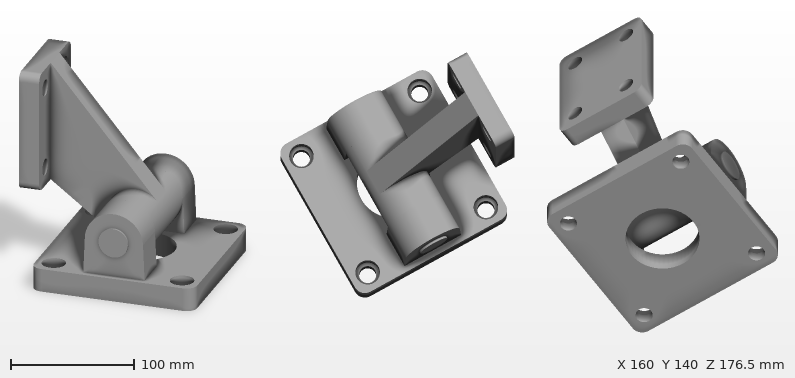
import cadquery as cq
import math


base_side = 140.0
base_thickness = 20.0
base_corner_radius = 9.2
base_hole_spacing = 110.0
base_opening_diameter = 60.0
bolt_diameter = 14.0
counterbore_diameter = 20.0
counterbore_depth = 10.0

pivot_height = 50.0
barrel_diameter = 50.0
barrel_radius = barrel_diameter / 2
barrel_length = 70.0
pin_diameter = 25.0
pin_length = 134.0

ear_foot_width = 52.6
ear_thickness = 30.0

overall_height = 176.5
overall_length = 160.0
flange_thickness = 17.5
flange_width = 80.0
flange_height = 103.0
flange_corner_radius = 7.0
flange_hole_spacing_y = 50.0
flange_hole_spacing_z = 70.0
web_thickness = 22.0

flange_outer_x = base_side / 2 - overall_length
flange_inner_x = flange_outer_x + flange_thickness
flange_bottom_z = overall_height - flange_height


def pivot_circle_point(angle):
    """Point (x, z) on the barrel circle at an angle from +X towards +Z."""
    return (barrel_radius * math.cos(angle), pivot_height + barrel_radius * math.sin(angle))


def tangent_angle(x, z, side):
    """Angle where the line from (x, z) touches the barrel circle; side +1 is counterclockwise."""
    rise = z - pivot_height
    return math.atan2(rise, x) + side * math.acos(barrel_radius / math.hypot(x, rise))


def cylinder_along_y(diameter, length):
    """Cylinder on the pivot axis, centred on Y = 0."""
    return (
        cq.Workplane("XZ", origin=(0, length / 2, 0))
        .center(0, pivot_height)
        .circle(diameter / 2)
        .extrude(length)
    )


def make_base_plate():
    plate = (
        cq.Workplane("XY")
        .rect(base_side, base_side)
        .extrude(base_thickness)
        .edges("|Z")
        .fillet(base_corner_radius)
    )
    return (
        plate.faces(">Z")
        .workplane(centerOption="CenterOfBoundBox")
        .hole(base_opening_diameter)
        .faces(">Z")
        .workplane(centerOption="CenterOfBoundBox")
        .rect(base_hole_spacing, base_hole_spacing, forConstruction=True)
        .vertices()
        .cboreHole(bolt_diameter, counterbore_diameter, counterbore_depth)
    )


def make_ear(side):
    """Ear with tapered sides that run tangent into its round top; side is +1 or -1 along Y."""
    foot_x = ear_foot_width / 2
    right_x, right_z = pivot_circle_point(tangent_angle(foot_x, base_thickness, 1))
    ear_centre_y = side * (barrel_length + ear_thickness) / 2
    return (
        cq.Workplane("XZ", origin=(0, ear_centre_y + ear_thickness / 2, 0))
        .moveTo(-foot_x, base_thickness)
        .lineTo(foot_x, base_thickness)
        .lineTo(right_x, right_z)
        .threePointArc((0, pivot_height + barrel_radius), (-right_x, right_z))
        .close()
        .extrude(ear_thickness)
    )


def make_base():
    base = make_base_plate()
    for side in (-1, 1):
        base = base.union(make_ear(side))
    return base.cut(cylinder_along_y(pin_diameter, pin_length))


def make_flange():
    flange_centre_z = flange_bottom_z + flange_height / 2
    return (
        cq.Workplane("YZ", origin=(flange_outer_x, 0, flange_centre_z))
        .rect(flange_width, flange_height)
        .extrude(flange_thickness)
        .edges("|X")
        .fillet(flange_corner_radius)
        .faces("<X")
        .workplane(centerOption="CenterOfBoundBox")
        .rect(flange_hole_spacing_y, flange_hole_spacing_z, forConstruction=True)
        .vertices()
        .hole(bolt_diameter)
    )


def make_web():
    """Web from the full flange height, tangent to the barrel; its inner end lies inside the barrel."""
    upper_angle = tangent_angle(flange_inner_x, overall_height, -1)
    lower_angle = tangent_angle(flange_inner_x, flange_bottom_z, 1)
    return (
        cq.Workplane("XZ", origin=(0, web_thickness / 2, 0))
        .moveTo(flange_inner_x, flange_bottom_z)
        .lineTo(flange_inner_x, overall_height)
        .lineTo(*pivot_circle_point(upper_angle))
        .lineTo(0, pivot_height)
        .lineTo(*pivot_circle_point(lower_angle))
        .close()
        .extrude(web_thickness)
    )


def make_arm():
    """Flange, web and barrel in one piece with the pin that turns in the ears."""
    barrel = cylinder_along_y(barrel_diameter, barrel_length)
    pin = cylinder_along_y(pin_diameter, pin_length)
    return make_flange().union(make_web()).union(barrel).union(pin)


base = make_base()
arm = make_arm()

result = cq.Compound.makeCompound([base.solids().val(), arm.solids().val()])